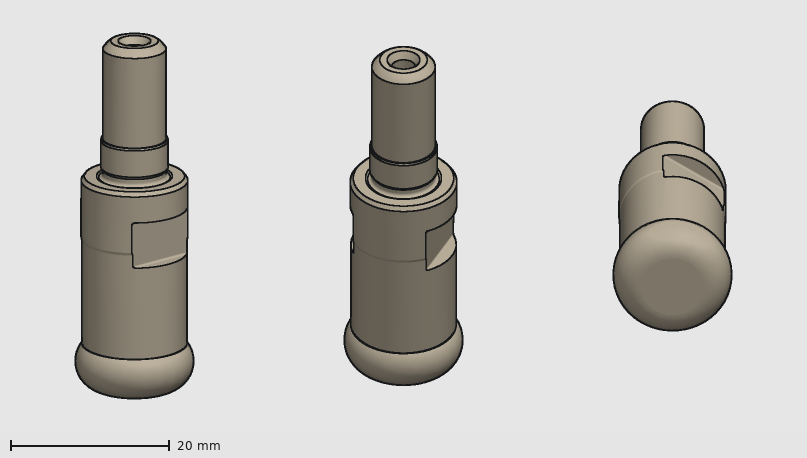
import cadquery as cq
import math

TOTAL_HEIGHT = 46.0
BUMPER_HEIGHT = 5.9
HEAD_TOP = 28.05
COLLAR_TOP = 33.07

BUMPER_RADIUS = 14.95 / 2
RIM_RADIUS = 3.5

BARREL_RADIUS = 13.3 / 2
HEAD_RADIUS = 13.5 / 2
HEAD_BOTTOM = 20.05
HEAD_TAPER_HEIGHT = 0.35
HEAD_CHAMFER_WIDTH = 0.4
HEAD_CHAMFER_HEIGHT = 0.55

FLAT_BOTTOM = 18.05
FLAT_TOP = 24.05
ACROSS_FLATS = 9.9
FLAT_CORNER_RADIUS = 0.28

SHANK_RADIUS = 8.0 / 2
COLLAR_RADIUS = 8.5 / 2
COLLAR_BOTTOM = 29.3
COLLAR_CHAMFER_WIDTH = 0.1
COLLAR_CHAMFER_HEIGHT = 0.28
COLLAR_TAPER_HEIGHT = 0.35
UNDERCUT_RADIUS = 0.5
UNDERCUT_DEPTH = 0.15
UNDERCUT_RAMP = 0.28

TIP_HEIGHT = 1.0
TIP_FACE_RADIUS = SHANK_RADIUS - TIP_HEIGHT
TIP_BULGE = 0.1

HOLE_RADIUS = 3.0 / 2
COUNTERSINK_RADIUS = 2.05
COUNTERSINK_ANGLE = 60.0
HOLE_DEPTH = 8.0
DRILL_POINT_ANGLE = 120.0


def cone_height(large_radius, small_radius, full_angle):
    """Axial length of a cone narrowing between two radii."""
    return (large_radius - small_radius) / math.tan(math.radians(full_angle / 2))


def revolve_about_z(profile):
    """Revolve a closed (radius, height) profile around the Z axis."""
    return profile.close().revolve(360, (0, 0, 0), (0, 1, 0))


def make_bumper():
    rim_center_radius = BUMPER_RADIUS - RIM_RADIUS
    rise = BUMPER_HEIGHT - RIM_RADIUS
    top_radius = rim_center_radius + math.sqrt(RIM_RADIUS**2 - rise**2)
    profile = (
        cq.Workplane("XZ")
        .lineTo(rim_center_radius, 0)
        .threePointArc((BUMPER_RADIUS, RIM_RADIUS), (top_radius, BUMPER_HEIGHT))
        .lineTo(0, BUMPER_HEIGHT)
    )
    return revolve_about_z(profile)


def make_turned_stud():
    undercut_floor = HEAD_TOP - UNDERCUT_DEPTH
    undercut_center_radius = SHANK_RADIUS + UNDERCUT_RADIUS
    undercut_center_height = undercut_floor + UNDERCUT_RADIUS
    undercut_arc_offset = UNDERCUT_RADIUS * math.sqrt(0.5)
    tip_bulge_offset = TIP_BULGE * math.sqrt(0.5)
    profile = (
        cq.Workplane("XZ")
        .moveTo(0, BUMPER_HEIGHT)
        .lineTo(BARREL_RADIUS, BUMPER_HEIGHT)
        .lineTo(BARREL_RADIUS, HEAD_BOTTOM - HEAD_TAPER_HEIGHT)
        .lineTo(HEAD_RADIUS, HEAD_BOTTOM)
        .lineTo(HEAD_RADIUS, HEAD_TOP - HEAD_CHAMFER_HEIGHT)
        .lineTo(HEAD_RADIUS - HEAD_CHAMFER_WIDTH, HEAD_TOP)
        .lineTo(undercut_center_radius + UNDERCUT_RAMP, HEAD_TOP)
        .lineTo(undercut_center_radius, undercut_floor)
        .threePointArc(
            (undercut_center_radius - undercut_arc_offset, undercut_center_height - undercut_arc_offset),
            (SHANK_RADIUS, undercut_center_height),
        )
        .lineTo(SHANK_RADIUS, COLLAR_BOTTOM - COLLAR_TAPER_HEIGHT)
        .lineTo(COLLAR_RADIUS, COLLAR_BOTTOM)
        .lineTo(COLLAR_RADIUS, COLLAR_TOP - COLLAR_CHAMFER_HEIGHT)
        .lineTo(COLLAR_RADIUS - COLLAR_CHAMFER_WIDTH, COLLAR_TOP)
        .lineTo(SHANK_RADIUS, COLLAR_TOP)
        .lineTo(SHANK_RADIUS, TOTAL_HEIGHT - TIP_HEIGHT)
        .threePointArc(
            (
                (SHANK_RADIUS + TIP_FACE_RADIUS) / 2 + tip_bulge_offset,
                TOTAL_HEIGHT - TIP_HEIGHT / 2 + tip_bulge_offset,
            ),
            (TIP_FACE_RADIUS, TOTAL_HEIGHT),
        )
        .lineTo(0, TOTAL_HEIGHT)
    )
    return revolve_about_z(profile)


def make_tip_hole():
    countersink_bottom = TOTAL_HEIGHT - cone_height(COUNTERSINK_RADIUS, HOLE_RADIUS, COUNTERSINK_ANGLE)
    hole_floor = TOTAL_HEIGHT - HOLE_DEPTH
    profile = (
        cq.Workplane("XZ")
        .moveTo(0, TOTAL_HEIGHT)
        .lineTo(COUNTERSINK_RADIUS, TOTAL_HEIGHT)
        .lineTo(HOLE_RADIUS, countersink_bottom)
        .lineTo(HOLE_RADIUS, hole_floor)
        .lineTo(0, hole_floor - cone_height(HOLE_RADIUS, 0, DRILL_POINT_ANGLE))
    )
    return revolve_about_z(profile)


def make_flat_cutter(side):
    """Block that mills one flat; side is +1 for +X and -1 for -X."""
    cutter_thickness = HEAD_RADIUS
    cutter_width = 2 * HEAD_RADIUS
    cutter_height = FLAT_TOP - FLAT_BOTTOM
    inner_face = "<X" if side > 0 else ">X"
    return (
        cq.Workplane("XY")
        .box(cutter_thickness, cutter_width, cutter_height)
        .faces(inner_face)
        .edges("|Y")
        .fillet(FLAT_CORNER_RADIUS)
        .translate((side * (ACROSS_FLATS + cutter_thickness) / 2, 0, (FLAT_TOP + FLAT_BOTTOM) / 2))
    )


def make_stud():
    body = make_turned_stud().cut(make_tip_hole())
    for side in (-1, 1):
        body = body.cut(make_flat_cutter(side))
    return body


bumper = make_bumper()
stud = make_stud()

result = cq.Compound.makeCompound([bumper.val(), stud.val()])